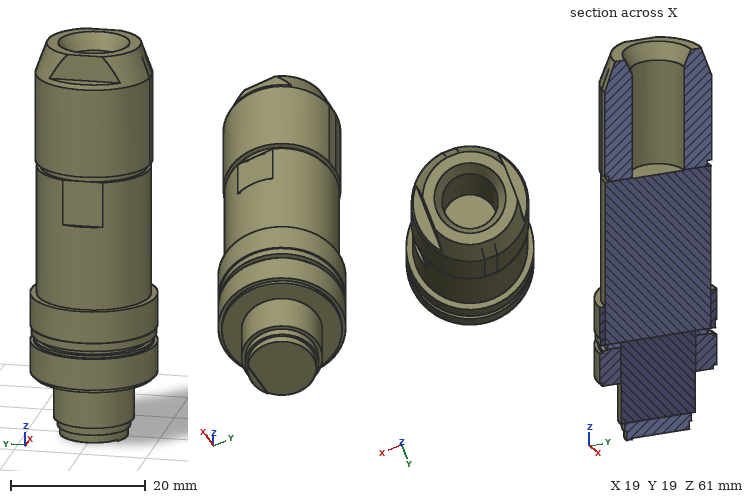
import cadquery as cq
import math

TOTAL_HEIGHT = 61.0
CAP_SKIRT_Z = 42.75
BODY_TOP_Z = 41.85
WRENCH_FLAT_Z = 34.9
COLLAR_TOP_Z = 22.0
COLLAR_STEP_Z = 17.1
COLLAR_BOTTOM_Z = 15.8
SEAL_BOTTOM_Z = 15.0
STEM_BOTTOM_Z = 2.75
INSERT_STEP_Z = 1.45
INSERT_FACE_Z = 0.2

CAP_RADIUS = 17.45 / 2
CAP_NECK_RADIUS = 8.0
CAP_CONE_HEIGHT = 4.65
CAP_CONE_ANGLE = 20.0
CAP_FLAT_OFFSET = 6.5
CAP_FLAT_HEIGHT = 3.9
MOUTH_RADIUS = 5.3
BORE_RADIUS = 4.15
MOUTH_DEPTH = 2.55
STRIP_WIDTH = 2.0
STRIP_DEPTH = 0.07

BODY_RADIUS = 8.55
BODY_FLAT_OFFSET = CAP_NECK_RADIUS

COLLAR_RADIUS = 19.0 / 2
COLLAR_STEP_RADIUS = 18.6 / 2
SEAL_RADIUS = 8.2

RING_RADIUS = COLLAR_RADIUS
RING_SHOULDER_RADIUS = 17.9 / 2
RING_TOP_SHOULDER = 0.35
RING_BOTTOM_SHOULDER = 0.55
RING_BOTTOM_Z = 9.3

STEM_RADIUS = 12.0 / 2
INSERT_RADIUS = 5.4
INSERT_NOSE_RADIUS = 10.2 / 2
KEY_FLAT_OFFSET = 4.15


def cylinder(radius, bottom, top):
    """Solid cylinder on the Z axis between two heights."""
    return cq.Workplane("XY", origin=(0, 0, bottom)).circle(radius).extrude(top - bottom)


def outer_sides(offset, bottom, top):
    """Two blocks holding everything beyond +-offset along X, for cutting a pair of flats."""
    block_width = 2 * COLLAR_RADIUS
    centre_x = offset + block_width / 2
    return (
        cq.Workplane("XY", origin=(0, 0, bottom))
        .pushPoints([(-centre_x, 0), (centre_x, 0)])
        .rect(block_width, block_width)
        .extrude(top - bottom)
    )


def make_cap():
    """Gland cap: conical mouth with two flats, a through bore and two shallow strips."""
    cone_base_z = TOTAL_HEIGHT - CAP_CONE_HEIGHT
    slope = math.tan(math.radians(CAP_CONE_ANGLE))
    top_radius = CAP_RADIUS - CAP_CONE_HEIGHT * slope
    mouth_floor_z = TOTAL_HEIGHT - MOUTH_DEPTH
    cap = (
        cq.Workplane("XZ")
        .moveTo(BORE_RADIUS, BODY_TOP_Z)
        .lineTo(CAP_NECK_RADIUS, BODY_TOP_Z)
        .lineTo(CAP_NECK_RADIUS, CAP_SKIRT_Z)
        .lineTo(CAP_RADIUS, CAP_SKIRT_Z)
        .lineTo(CAP_RADIUS, cone_base_z)
        .lineTo(top_radius, TOTAL_HEIGHT)
        .lineTo(MOUTH_RADIUS, TOTAL_HEIGHT)
        .lineTo(BORE_RADIUS, mouth_floor_z)
        .close()
        .revolve(360, (0, 0, 0), (0, 1, 0))
    )
    cap = cap.cut(outer_sides(CAP_FLAT_OFFSET, TOTAL_HEIGHT - CAP_FLAT_HEIGHT, TOTAL_HEIGHT))

    strip_cutter = (
        cq.Workplane("YZ")
        .moveTo(CAP_RADIUS - STRIP_DEPTH, CAP_SKIRT_Z)
        .lineTo(CAP_RADIUS - STRIP_DEPTH, cone_base_z)
        .lineTo(top_radius - STRIP_DEPTH, TOTAL_HEIGHT)
        .lineTo(COLLAR_RADIUS, TOTAL_HEIGHT)
        .lineTo(COLLAR_RADIUS, CAP_SKIRT_Z)
        .close()
        .extrude(STRIP_WIDTH / 2, both=True)
    )
    return cap.cut(strip_cutter).cut(strip_cutter.mirror("XZ"))


def make_body():
    """Grip body with a pair of wrench flats below the cap; it runs down through the collar."""
    body = cylinder(BODY_RADIUS, COLLAR_BOTTOM_Z, BODY_TOP_Z)
    return body.cut(outer_sides(BODY_FLAT_OFFSET, WRENCH_FLAT_Z, BODY_TOP_Z))


def make_collar():
    """Stepped collar around the lower end of the body."""
    collar = cylinder(COLLAR_RADIUS, COLLAR_STEP_Z, COLLAR_TOP_Z)
    collar = collar.union(cylinder(COLLAR_STEP_RADIUS, COLLAR_BOTTOM_Z, COLLAR_STEP_Z))
    return collar.cut(cylinder(BODY_RADIUS, COLLAR_BOTTOM_Z, COLLAR_TOP_Z))


def make_seal():
    """Seal ring in the gap between the collar and the coupling ring."""
    seal = cylinder(SEAL_RADIUS, SEAL_BOTTOM_Z, COLLAR_BOTTOM_Z)
    return seal.cut(cylinder(STEM_RADIUS, SEAL_BOTTOM_Z, COLLAR_BOTTOM_Z))


def make_coupling_ring():
    """Coupling ring with a narrower shoulder at each end, around the stem."""
    grip_bottom_z = RING_BOTTOM_Z + RING_BOTTOM_SHOULDER
    grip_top_z = SEAL_BOTTOM_Z - RING_TOP_SHOULDER
    ring = cylinder(RING_SHOULDER_RADIUS, RING_BOTTOM_Z, SEAL_BOTTOM_Z)
    ring = ring.union(cylinder(RING_RADIUS, grip_bottom_z, grip_top_z))
    return ring.cut(cylinder(STEM_RADIUS, RING_BOTTOM_Z, SEAL_BOTTOM_Z))


def make_stem():
    """Plug stem running from the body through the seal and the coupling ring."""
    return cylinder(STEM_RADIUS, STEM_BOTTOM_Z, COLLAR_BOTTOM_Z)


def make_insert():
    """Stepped contact insert at the tip, with a low key segment on its -Y edge."""
    insert = cylinder(INSERT_RADIUS, INSERT_STEP_Z, STEM_BOTTOM_Z)
    insert = insert.union(cylinder(INSERT_NOSE_RADIUS, 0, INSERT_STEP_Z))
    face_width = 2 * INSERT_RADIUS
    face_cutter = cq.Workplane("XY").box(
        face_width, face_width, INSERT_FACE_Z, centered=(True, False, False)
    )
    return insert.cut(face_cutter.translate((0, -KEY_FLAT_OFFSET, 0)))


cap = make_cap()
body = make_body()
collar = make_collar()
seal = make_seal()
coupling_ring = make_coupling_ring()
stem = make_stem()
insert = make_insert()

result = cq.Compound.makeCompound(
    [
        cap.val(),
        body.val(),
        collar.val(),
        seal.val(),
        coupling_ring.val(),
        stem.val(),
        insert.val(),
    ]
)